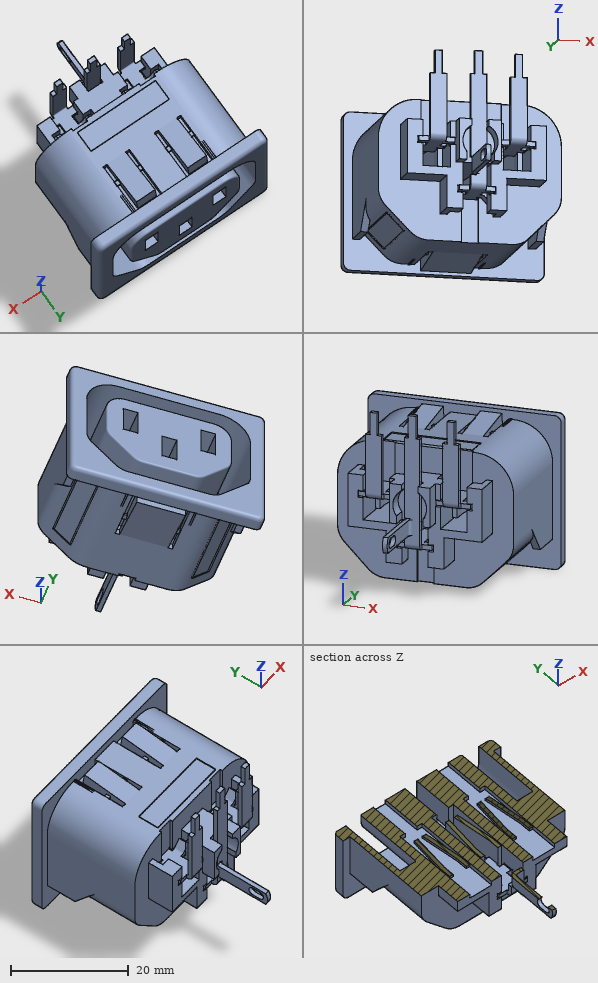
import cadquery as cq
import math


PANEL_WIDTH = 35.07
PANEL_HEIGHT = 27.55
PANEL_THICKNESS = 2.55
PANEL_CORNER = 1.25
PANEL_EDGE_ROUND = 0.85

BODY_WIDTH = 31.97
BODY_HEIGHT = 24.4
BODY_DEPTH = 18.65
BODY_TOP_RADIUS = 6.95
BODY_LOWER_RADIUS = 4.4
BODY_CHAMFER = 6.85
BODY_TOP = BODY_HEIGHT / 2
BODY_SIDE = BODY_WIDTH / 2
WALL = 1.25

CORE_WIDTH = 22.53
CORE_HEIGHT = 15.5
CORE_TOP_RADIUS = 3.33
CORE_LOWER_RADIUS = 2.7
CORE_CHAMFER = 5.55
CORE_PROUD = 0.4
CORE_EDGE_ROUND = 0.35
SHROUD_GAP_END = -11.6

SKIRT_THICKNESS = BODY_LOWER_RADIUS * (1 - math.cos(math.pi / 4))
SKIRT_TOP = -3.5
SKIRT_BOTTOM = -8.35
SKIRT_LONG = 10.0
SKIRT_SHORT = 5.9

TOP_LATCH_X = 5.3
TOP_LATCH_WIDTH = 3.87
BOTTOM_LATCH_WIDTH = 8.75
LATCH_GAP = 0.77
LATCH_ROOT = 10.0
LATCH_TIP = 1.28
LATCH_HEEL = 0.9
LATCH_RISE = 1.3
WEB_START = 5.92
WEB_LENGTH = 0.93
WEB_DROP = 0.4
WEB_THICKNESS = 0.4

RIB_WIDTH = 0.3
RIB_LENGTH = 4.05
RIB_HEIGHT = 0.15
TOP_RIB_X = 8.48
BOTTOM_RIB_X = 6.15
RECESS_DEPTH = 0.2
TOP_RECESS_WIDTH = 16.2
TOP_RECESS_START = 13.47
TOP_RECESS_LENGTH = 4.05
SIDE_RECESS_START = 1.97
SIDE_RECESS_LENGTH = 14.48
SIDE_RECESS_TOP = -7.25
SIDE_RECESS_BOTTOM = -10.25

BLOCK_DEPTH = 5.05
BLOCK_REAR = BODY_DEPTH + BLOCK_DEPTH
BLOCK_WIDTH = 24.3
BLOCK_HALF_HEIGHT = 7.55
BLOCK_STEP = -1.9
BLOCK_LOWER_WIDTH = 10.45
BOSS_WIDTH = 7.35
BOSS_DEPTH = 2.5
BOSS_SLOT_WIDTH = 3.0
BOSS_RELIEF_RADIUS = 3.05
BOSS_RELIEF_Z = 3.75

SHEET = 0.85
LIVE_X = 7.0
LIVE_PLATE_Z = 4.7
EARTH_PLATE_Z = -4.37
LIVE_TAIL_WIDTH = 2.85
LIVE_PIN_WIDTH = 1.25
LIVE_SHOULDER = 15.45
LIVE_TIP = 19.45
EARTH_TAIL_WIDTH = 2.8
EARTH_PIN_WIDTH = 1.4
EARTH_SHOULDER = 15.68
EARTH_TIP = 19.7
TAIL_REAR = 25.12
TAIL_FRONT = TAIL_REAR - SHEET
TAIL_INNER_BEND = 0.2
EAR_WIDTH = 6.27
EAR_REAR = 23.92
EAR_FRONT = 22.5
NECK_WIDTH = 2.55
WING_REAR = 20.7
WING_FRONT = 18.77
WING_FLAT = 1.65
WING_BEND = 0.45
WING_TIP = 3.25
CHANNEL_REAR = 18.2
CHANNEL_LENGTH = 2.32
CHANNEL_WIDTH = 4.55
CHANNEL_HEIGHT = 4.75
FINGER_FRONT = 7.75
FINGER_GAP = 0.95

LUG_BOTTOM = -1.7
LUG_TOP = 1.1
LUG_INNER_BEND = 0.45
LUG_OUTER_BEND = LUG_INNER_BEND + SHEET
LUG_END = 35.75
LUG_END_CROWN = 0.43
LUG_RELIEF = 0.2
LUG_HOLE_LENGTH = 3.1
LUG_HOLE_HEIGHT = 1.75
LUG_HOLE_Y = -33.33

CAVITY_WIDTH = 4.8
CAVITY_END = 0.45
CAVITY_FRONT = 5.42
NECK_CLEARANCE_WIDTH = 3.02
NECK_CLEARANCE = 0.27
PIN_SLOT_WIDTH = 2.65
EAR_SLOT_WIDTH = 6.65
EAR_SLOT_HEIGHT = 1.2
NOTCH_WIDTH = 8.05
NOTCH_REAR = 20.83


def box(x_range, y_range, z_range):
    """Box spanning three (low, high) ranges, given in either order."""
    spans = [sorted(r) for r in (x_range, y_range, z_range)]
    sizes = [high - low for low, high in spans]
    corner = [low for low, high in spans]
    return cq.Workplane("XY").box(*sizes, centered=False).translate(tuple(corner))


def centred_box(x, width, y_range, z_range):
    return box((x - width / 2, x + width / 2), y_range, z_range)


def outlet_prism(width, height, chamfer, top_radius, lower_radius, y_front, y_rear):
    """Prism along Y with round top corners and rounded 45-degree lower corners."""
    side = width / 2
    top = height / 2
    prism = (
        cq.Workplane("XZ", origin=(0, y_front, 0))
        .polyline([
            (-side, top), (side, top), (side, chamfer - top),
            (side - chamfer, -top), (chamfer - side, -top), (-side, chamfer - top),
        ])
        .close()
        .extrude(y_front - y_rear)
    )
    prism = prism.edges("|Y").edges(">Z").fillet(top_radius)
    lower_corners = cq.selectors.BoxSelector((-width, -BODY_DEPTH * 2, -height), (width, BODY_DEPTH * 2, 0))
    return prism.edges("|Y").edges(lower_corners).fillet(lower_radius)



def panel():
    plate = centred_box(0, PANEL_WIDTH, (0, PANEL_THICKNESS), (-PANEL_HEIGHT / 2, PANEL_HEIGHT / 2))
    plate = plate.edges("|Y").fillet(PANEL_CORNER)
    return plate.faces(">Y").edges().fillet(PANEL_EDGE_ROUND)


def body():
    return outlet_prism(
        BODY_WIDTH, BODY_HEIGHT, BODY_CHAMFER, BODY_TOP_RADIUS, BODY_LOWER_RADIUS, 0, -BODY_DEPTH
    )


def shroud_gap():
    """Space around the core, open at the panel's front."""
    inset = 2 * WALL
    chamfer = BODY_CHAMFER - WALL * (2 - math.sqrt(2))
    return outlet_prism(
        BODY_WIDTH - inset, BODY_HEIGHT - inset, chamfer,
        BODY_TOP_RADIUS - WALL, BODY_LOWER_RADIUS - WALL, PANEL_THICKNESS, SHROUD_GAP_END,
    )


def core():
    block = outlet_prism(
        CORE_WIDTH, CORE_HEIGHT, CORE_CHAMFER, CORE_TOP_RADIUS, CORE_LOWER_RADIUS,
        PANEL_THICKNESS + CORE_PROUD, SHROUD_GAP_END,
    )
    return block.faces(">Y").edges().fillet(CORE_EDGE_ROUND)


def skirt():
    """Side wall carried straight down beside the left lower corner."""
    profile = [
        (0, SKIRT_TOP), (-SKIRT_LONG, SKIRT_TOP), (-SKIRT_SHORT, SKIRT_BOTTOM), (0, SKIRT_BOTTOM),
    ]
    return cq.Workplane("YZ", origin=(-BODY_SIDE, 0, 0)).polyline(profile).close().extrude(SKIRT_THICKNESS)


def latch_window(x, width):
    return centred_box(x, width + 2 * LATCH_GAP, (-LATCH_ROOT, 0), (BODY_TOP - WALL, BODY_TOP))


def latch(x, width):
    """Top latch: a ramp rising towards the panel, with thin webs to the window's sides."""
    profile = [
        (-LATCH_ROOT, BODY_TOP), (-LATCH_TIP, BODY_TOP + LATCH_RISE),
        (-LATCH_HEEL, BODY_TOP - WALL), (-LATCH_ROOT, BODY_TOP - WALL),
    ]
    ramp = cq.Workplane("YZ", origin=(x - width / 2, 0, 0)).polyline(profile).close().extrude(width)
    web_top = BODY_TOP - WEB_DROP
    web = centred_box(
        x, width + 2 * LATCH_GAP, (-WEB_START - WEB_LENGTH, -WEB_START), (web_top - WEB_THICKNESS, web_top)
    )
    return ramp.union(web)


def crush_rib(x):
    """Top rib, highest at the panel and fading out towards the rear."""
    profile = [(0, BODY_TOP - RIB_HEIGHT), (0, BODY_TOP + RIB_HEIGHT), (-RIB_LENGTH, BODY_TOP)]
    return cq.Workplane("YZ", origin=(x - RIB_WIDTH / 2, 0, 0)).polyline(profile).close().extrude(RIB_WIDTH)


def top_recess():
    rear = -TOP_RECESS_START - TOP_RECESS_LENGTH
    return centred_box(0, TOP_RECESS_WIDTH, (rear, -TOP_RECESS_START), (BODY_TOP - RECESS_DEPTH, BODY_TOP))


def side_recess():
    """Shallow recess in the left 45-degree face."""
    offset = BODY_SIDE + BODY_TOP - BODY_CHAMFER
    inward = RECESS_DEPTH * math.sqrt(2)
    profile = [
        (-offset - SIDE_RECESS_TOP, SIDE_RECESS_TOP),
        (-offset - SIDE_RECESS_BOTTOM, SIDE_RECESS_BOTTOM),
        (-offset - SIDE_RECESS_BOTTOM + inward, SIDE_RECESS_BOTTOM),
        (-offset - SIDE_RECESS_TOP + inward, SIDE_RECESS_TOP),
    ]
    outline = cq.Workplane("XZ", origin=(0, -SIDE_RECESS_START, 0)).polyline(profile).close()
    return outline.extrude(SIDE_RECESS_LENGTH)


def terminal_block():
    depth = (-BLOCK_REAR, -BODY_DEPTH)
    upper = centred_box(0, BLOCK_WIDTH, depth, (BLOCK_STEP, BLOCK_HALF_HEIGHT))
    lower = centred_box(0, BLOCK_LOWER_WIDTH, depth, (-BLOCK_HALF_HEIGHT, BLOCK_STEP))
    return upper.union(lower)


def boss():
    """Guard on the block's rear that straddles the earth tail."""
    depth = (-BLOCK_REAR - BOSS_DEPTH, -BLOCK_REAR)
    guard = centred_box(0, BOSS_WIDTH, depth, (CAVITY_END, BLOCK_HALF_HEIGHT))
    slot = centred_box(0, BOSS_SLOT_WIDTH, depth, (BOSS_RELIEF_Z, BLOCK_HALF_HEIGHT))
    mouth = centred_box(0, CAVITY_WIDTH, depth, (CAVITY_END, BOSS_RELIEF_Z))
    relief = (
        cq.Workplane("XZ", origin=(0, -BLOCK_REAR, 0))
        .center(0, BOSS_RELIEF_Z)
        .circle(BOSS_RELIEF_RADIUS)
        .extrude(BOSS_DEPTH)
    )
    return guard.cut(slot).cut(mouth).cut(relief)


def terminal_cavity(x, plate_z, side):
    """Room for one contact; side is +1 where the plate lies above its channel, -1 where below."""
    end_z = -side * CAVITY_END
    clear_z = plate_z + side * NECK_CLEARANCE
    block_edge = side * BLOCK_HALF_HEIGHT
    groove_end = side * BODY_TOP
    plate_top = max(plate_z, plate_z - side * SHEET)
    slot_z = (plate_top - EAR_SLOT_HEIGHT, plate_top)
    pocket = centred_box(x, CAVITY_WIDTH, (-BODY_DEPTH, -CAVITY_FRONT), (end_z, plate_z))
    neck = centred_box(x, NECK_CLEARANCE_WIDTH, (-BODY_DEPTH, -CAVITY_FRONT), (end_z, clear_z))
    pin_slot = centred_box(
        x, PIN_SLOT_WIDTH, (-CAVITY_FRONT, PANEL_THICKNESS + CORE_PROUD), (end_z, clear_z)
    )
    groove = centred_box(x, NECK_CLEARANCE_WIDTH, (-BODY_DEPTH, -CHANNEL_REAR), (plate_z, groove_end))
    opening = centred_box(x, CAVITY_WIDTH, (-BLOCK_REAR, -BODY_DEPTH), (end_z, block_edge))
    ear_slot = centred_box(x, EAR_SLOT_WIDTH, (-BLOCK_REAR, -EAR_FRONT), slot_z)
    notch = centred_box(x, NOTCH_WIDTH, (-NOTCH_REAR, -BODY_DEPTH), (plate_z - side * SHEET, block_edge))
    cavity = pocket
    for part in (neck, pin_slot, groove, opening, ear_slot, notch):
        cavity = cavity.union(part)
    return cavity


def make_housing():
    shell = panel().union(body()).union(skirt()).union(skirt().mirror("YZ"))
    shell = shell.cut(shroud_gap()).union(core())
    for x in (-TOP_LATCH_X, TOP_LATCH_X):
        shell = shell.cut(latch_window(x, TOP_LATCH_WIDTH)).union(latch(x, TOP_LATCH_WIDTH))
    shell = shell.cut(latch_window(0, BOTTOM_LATCH_WIDTH).mirror("XY"))
    shell = shell.union(latch(0, BOTTOM_LATCH_WIDTH).mirror("XY"))
    for sign in (-1, 1):
        shell = shell.union(crush_rib(sign * TOP_RIB_X))
        shell = shell.union(crush_rib(sign * BOTTOM_RIB_X).mirror("XY"))
    shell = shell.cut(top_recess()).cut(side_recess()).cut(side_recess().mirror("YZ"))
    shell = shell.union(terminal_block()).union(boss())
    for x in (-LIVE_X, LIVE_X):
        shell = shell.cut(terminal_cavity(x, LIVE_PLATE_Z, 1))
    return shell.cut(terminal_cavity(0, EARTH_PLATE_Z, -1))



def contact_plate():
    """Flat sheet from the ears to the channel, its outer face at Z = 0."""
    sheet_z = (-SHEET, 0)
    ears = centred_box(0, EAR_WIDTH, (-EAR_REAR, -EAR_FRONT), sheet_z)
    neck = centred_box(0, NECK_WIDTH, (-EAR_FRONT, -CHANNEL_REAR), sheet_z)
    return ears.union(neck)


def wings():
    """Short flanges bent up at 45 degrees on both sides of the neck."""
    bend_run = WING_BEND * math.sin(math.pi / 4)
    bend_rise = WING_BEND * (1 - math.cos(math.pi / 4))
    tip_z = bend_rise + WING_TIP - WING_FLAT - bend_run
    thickness_step = SHEET * math.sin(math.pi / 4)
    lower_bend = WING_FLAT + WING_BEND * math.tan(math.pi / 8) + SHEET * math.tan(math.pi / 8)
    half = (
        cq.Workplane("XZ", origin=(0, -WING_FRONT, 0))
        .moveTo(0, -SHEET)
        .lineTo(0, 0)
        .lineTo(WING_FLAT, 0)
        .tangentArcPoint((bend_run, bend_rise))
        .lineTo(WING_TIP, tip_z)
        .lineTo(WING_TIP + thickness_step, tip_z - thickness_step)
        .lineTo(lower_bend, -SHEET)
        .close()
        .extrude(WING_REAR - WING_FRONT)
    )
    return half.union(half.mirror("YZ"))


def channel():
    """U-shaped channel whose side walls run on as two converging fingers."""
    outer = CHANNEL_WIDTH / 2
    inner = outer - SHEET
    front = -CHANNEL_REAR + CHANNEL_LENGTH
    web = centred_box(0, CHANNEL_WIDTH, (-CHANNEL_REAR, front), (-SHEET, 0))
    profile = [
        (inner, -CHANNEL_REAR), (outer, -CHANNEL_REAR), (outer, front),
        (FINGER_GAP / 2 + SHEET, -FINGER_FRONT), (FINGER_GAP / 2, -FINGER_FRONT), (inner, front),
    ]
    finger = cq.Workplane("XY").polyline(profile).close().extrude(-CHANNEL_HEIGHT)
    return web.union(finger).union(finger.mirror("YZ"))


def contact():
    return contact_plate().union(wings()).union(channel())


def tail(plate_bottom, width, pin_width, shoulder, tip):
    """Strip that leaves the ears rearwards and turns up into a narrow pin."""
    foot = centred_box(0, width, (-TAIL_REAR, -EAR_REAR), (plate_bottom, plate_bottom + SHEET))
    upright = centred_box(0, width, (-TAIL_REAR, -TAIL_FRONT), (plate_bottom, shoulder))
    inner_corner = cq.selectors.NearestToPointSelector((0, -TAIL_FRONT, plate_bottom + SHEET))
    strip = foot.union(upright)
    strip = strip.edges("|X").edges(inner_corner).fillet(TAIL_INNER_BEND)
    strip = strip.edges("|X").edges("<Y and <Z").fillet(TAIL_INNER_BEND + SHEET)
    return strip.union(centred_box(0, pin_width, (-TAIL_REAR, -TAIL_FRONT), (shoulder, tip)))


def lug_opening():
    """Part of the earth tail taken up by the lug and its relief cuts."""
    depth = (-TAIL_REAR, -TAIL_FRONT)
    edge = -EARTH_TAIL_WIDTH / 2
    bent = box((edge, 0), depth, (LUG_BOTTOM, LUG_TOP))
    relief = box((edge, -LUG_INNER_BEND), depth, (LUG_BOTTOM - LUG_RELIEF, LUG_TOP + LUG_RELIEF))
    return bent.union(relief)


def solder_lug():
    """Strip bent rearwards out of the earth tail, with a rounded end and an oblong hole."""
    bend_y = -TAIL_FRONT - LUG_OUTER_BEND
    strip = (
        cq.Workplane("XY", origin=(0, 0, LUG_BOTTOM))
        .moveTo(0, -TAIL_FRONT)
        .radiusArc((-LUG_OUTER_BEND, bend_y), -LUG_OUTER_BEND)
        .lineTo(-LUG_OUTER_BEND, -LUG_END)
        .lineTo(-LUG_INNER_BEND, -LUG_END)
        .lineTo(-LUG_INNER_BEND, bend_y)
        .radiusArc((0, -TAIL_REAR), LUG_INNER_BEND)
        .close()
        .extrude(LUG_TOP - LUG_BOTTOM)
    )
    middle = (LUG_TOP + LUG_BOTTOM) / 2
    side_plane = cq.Workplane("YZ", origin=(-LUG_OUTER_BEND, 0, 0))
    outline = (
        side_plane
        .moveTo(-TAIL_FRONT, LUG_BOTTOM)
        .lineTo(-LUG_END + LUG_END_CROWN, LUG_BOTTOM)
        .threePointArc((-LUG_END, middle), (-LUG_END + LUG_END_CROWN, LUG_TOP))
        .lineTo(-TAIL_FRONT, LUG_TOP)
        .close()
        .extrude(LUG_OUTER_BEND)
    )
    hole = side_plane.center(LUG_HOLE_Y, middle).slot2D(LUG_HOLE_LENGTH, LUG_HOLE_HEIGHT)
    return strip.intersect(outline).cut(hole.extrude(LUG_OUTER_BEND))


def make_live_terminal(x):
    plate_bottom = LIVE_PLATE_Z - SHEET
    strip = tail(plate_bottom, LIVE_TAIL_WIDTH, LIVE_PIN_WIDTH, LIVE_SHOULDER, LIVE_TIP)
    return contact().translate((0, 0, LIVE_PLATE_Z)).union(strip).translate((x, 0, 0))


def make_earth_terminal():
    """Contact turned upside down, its tail carrying the solder lug."""
    strip = tail(EARTH_PLATE_Z, EARTH_TAIL_WIDTH, EARTH_PIN_WIDTH, EARTH_SHOULDER, EARTH_TIP)
    strip = strip.cut(lug_opening()).union(solder_lug())
    return contact().mirror("XY").translate((0, 0, EARTH_PLATE_Z)).union(strip)


housing = make_housing()
live_terminals = [make_live_terminal(x) for x in (-LIVE_X, LIVE_X)]
earth_terminal = make_earth_terminal()

result = cq.Compound.makeCompound(
    [housing.val(), *[terminal.val() for terminal in live_terminals], earth_terminal.val()]
)